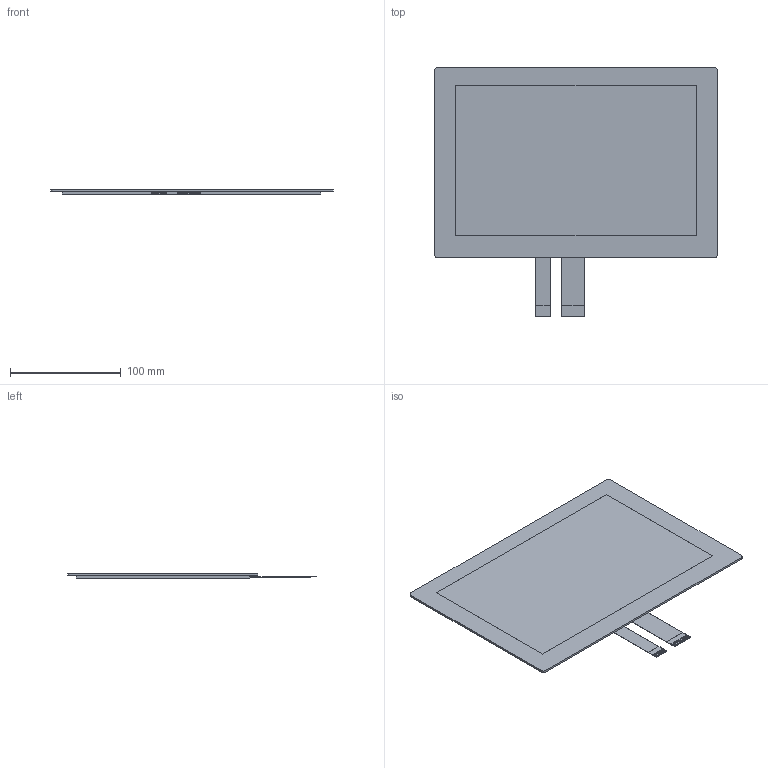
import cadquery as cq

overall_depth = 224.7
total_height = 4.3

glass_length = 255.0
glass_width = 171.7
glass_thickness = 1.8
glass_corner_radius = 2.5

window_length = 217.0
window_width = 135.6
window_center_x = 0.0
window_center_y = 2.0
window_depth = 0.02

module_length = 233.0
module_width = 156.5
module_center_x = -0.5
module_center_y = -0.5

tail_top = -2.75
film_thickness = 0.2
cover_thickness = 0.15
bare_end_length = 5.0
stiffener_length = 10.0
stiffener_thickness = 0.1
tail_root_overlap = 1.0
narrow_tail_x = -29.8
narrow_tail_width = 13.5
wide_tail_x = -2.7
wide_tail_width = 20.6

finger_pitch = 1.0
finger_width = 0.7
finger_length = 4.0
finger_thickness = 0.05

module_front = module_center_y - module_width / 2
tail_end = glass_width / 2 - overall_depth


def block(x_center, length, y_start, y_end, z_bottom, z_top):
    """Box centred on x_center, spanning the given Y and Z ranges."""
    return cq.Workplane("XY").box(length, y_end - y_start, z_top - z_bottom).translate(
        (x_center, (y_start + y_end) / 2, (z_bottom + z_top) / 2)
    )


def make_glass():
    plate = cq.Workplane("XY").workplane(offset=-glass_thickness).rect(glass_length, glass_width)
    plate = plate.extrude(glass_thickness).edges("|Z").fillet(glass_corner_radius)
    window = block(
        window_center_x,
        window_length,
        window_center_y - window_width / 2,
        window_center_y + window_width / 2,
        -window_depth,
        window_depth,
    )
    return plate.cut(window)


def make_module():
    return block(
        module_center_x,
        module_length,
        module_front,
        module_front + module_width,
        -total_height,
        -glass_thickness,
    )


def make_tail(x_center, width):
    """Cable film with a stiffener on top and a cover layer and contact fingers below."""
    root = module_front + tail_root_overlap
    film_bottom = tail_top - film_thickness
    tail = block(x_center, width, tail_end, root, film_bottom, tail_top)
    stiffener_end = tail_end + stiffener_length
    stiffener = block(x_center, width, tail_end, stiffener_end, tail_top, tail_top + stiffener_thickness)
    cover_bottom = film_bottom - cover_thickness
    cover = block(x_center, width, tail_end + bare_end_length, root, cover_bottom, film_bottom)
    tail = tail.union(stiffener).union(cover)

    finger_count = round(width / finger_pitch) - 1
    first_finger_x = x_center - (finger_count - 1) * finger_pitch / 2
    for index in range(finger_count):
        finger_x = first_finger_x + index * finger_pitch
        finger_bottom = film_bottom - finger_thickness
        finger_end = tail_end + finger_length
        tail = tail.union(block(finger_x, finger_width, tail_end, finger_end, finger_bottom, film_bottom))
    return tail


result = make_glass().union(make_module())
result = result.union(make_tail(narrow_tail_x, narrow_tail_width))
result = result.union(make_tail(wide_tail_x, wide_tail_width))